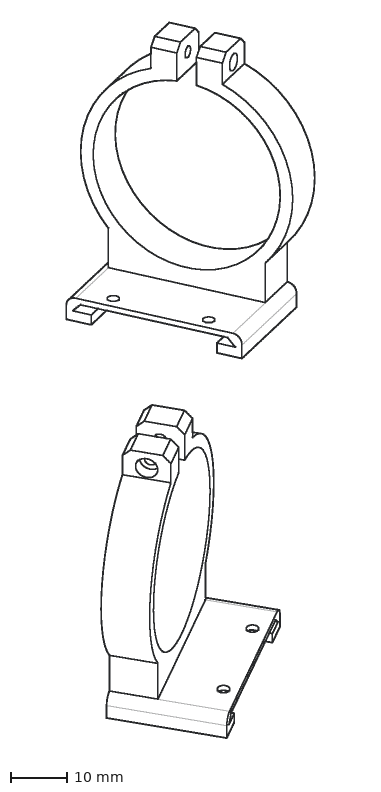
import cadquery as cq

ring_outer_diameter = 42.0
ring_inner_diameter = 37.0
ring_width = 9.0
ring_axis_z = 26.66

overall_height = 52.16
lug_span = 14.15
lug_gap = 3.9
lug_chamfer = 1.5
screw_axis_z = 48.8
screw_hole_diameter = 2.2
screw_head_diameter = 4.1
insert_diameter = 3.2
screw_head_depth = 2.55
insert_depth = 4.1

base_width = 34.8
base_length = 22.25
base_height = 4.66
base_corner_radius = 1.86
base_hole_diameter = 2.2
base_hole_spacing = 18.9
base_hole_setback = 2.85

lip_height = 2.0
slot_opening = 24.85
slot_floor_width = 32.2
slot_roof_width = 29.1
slot_roof_z = 3.55
rear_wall = 2.0

ring_center_y = -ring_width / 2
pedestal_width = base_width - 2 * base_corner_radius


def centered_box(width, length, z_bottom, z_top):
    """Box centred on X, reaching forward from the rear face."""
    return (
        cq.Workplane("XY")
        .box(width, length, z_top - z_bottom, centered=(True, False, False))
        .translate((0, -length, z_bottom))
    )


def ring_cylinder(diameter):
    """Cylinder on the ring axis, as wide as the ring."""
    return (
        cq.Workplane("XZ")
        .center(0, ring_axis_z)
        .circle(diameter / 2)
        .extrude(ring_width)
    )


def make_slot():
    """Undercut slot running back from the front edge to the rear wall."""
    half_opening = slot_opening / 2
    half_floor = slot_floor_width / 2
    half_roof = slot_roof_width / 2
    return (
        cq.Workplane("XZ", origin=(0, -rear_wall, 0))
        .moveTo(-half_opening, 0)
        .lineTo(-half_opening, lip_height)
        .lineTo(-half_floor, lip_height)
        .lineTo(-half_roof, slot_roof_z)
        .lineTo(half_roof, slot_roof_z)
        .lineTo(half_floor, lip_height)
        .lineTo(half_opening, lip_height)
        .lineTo(half_opening, 0)
        .close()
        .extrude(base_length - rear_wall)
    )


def make_base():
    """Base plate with rounded upper side edges, the slot and two screw holes."""
    plate = centered_box(base_width, base_length, 0, base_height)
    plate = plate.edges("|Y and >Z").fillet(base_corner_radius)
    holes = (
        cq.Workplane("XY")
        .center(0, base_hole_setback - base_length)
        .rarray(base_hole_spacing, 1, 2, 1)
        .circle(base_hole_diameter / 2)
        .extrude(base_height)
    )
    return plate.cut(make_slot()).cut(holes)


def make_clamp():
    """Split ring on its pedestal, with the two lugs still joined to it."""
    pedestal = centered_box(pedestal_width, ring_width, base_height, ring_axis_z)
    lugs = centered_box(lug_span, ring_width, ring_axis_z, overall_height)
    lugs = lugs.edges("|X and >Z").chamfer(lug_chamfer)
    gap = centered_box(lug_gap, ring_width, ring_axis_z, overall_height)
    return (
        ring_cylinder(ring_outer_diameter)
        .union(pedestal)
        .union(lugs)
        .cut(ring_cylinder(ring_inner_diameter))
        .cut(gap)
    )


def bore_along_x(diameter, x_start, x_end):
    """Bore on the clamping screw axis between two X positions."""
    return (
        cq.Workplane("YZ", origin=(x_start, ring_center_y, screw_axis_z))
        .circle(diameter / 2)
        .extrude(x_end - x_start)
    )


def make_screw_bores():
    """Screw hole through both lugs, widened from outside for the head and the insert."""
    outer_x = lug_span / 2
    screw_hole = bore_along_x(screw_hole_diameter, -outer_x, outer_x)
    head_recess = bore_along_x(screw_head_diameter, -outer_x, screw_head_depth - outer_x)
    insert_recess = bore_along_x(insert_diameter, outer_x - insert_depth, outer_x)
    return screw_hole.union(head_recess).union(insert_recess)


result = make_base().union(make_clamp()).cut(make_screw_bores())